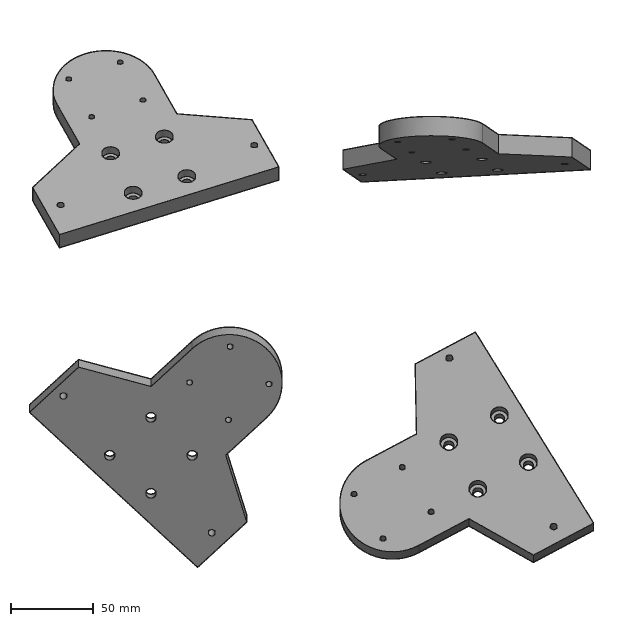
import cadquery as cq

length = 131.0
width = 144.0
thickness = 12.0

tongue_width = 64.0
tongue_radius = tongue_width / 2
base_depth = 64.1
end_depth = 42.0
junction_x = length - base_depth
end_x = length - end_depth

bolt_spacing = 35.3
bolt_diameter = 6.2
counterbore_diameter = 10.7
counterbore_depth = 6.0
bolt_center = (length - base_depth / 2, 0)

end_hole_diameter = 4.2
end_hole_x = 108.9
end_hole_ys = (65.1, -61.9)

tongue_hole_diameter = 3.5
tongue_hole_spacing = 34.0
tongue_hole_angle = 1.2
tongue_hole_center = (32.0, 0)


def make_plate():
    """Round-ended tongue running into a base that flares out to full width."""
    return (
        cq.Workplane("XY")
        .moveTo(tongue_radius, -tongue_width / 2)
        .lineTo(junction_x, -tongue_width / 2)
        .lineTo(end_x, -width / 2)
        .lineTo(length, -width / 2)
        .lineTo(length, width / 2)
        .lineTo(end_x, width / 2)
        .lineTo(junction_x, tongue_width / 2)
        .lineTo(tongue_radius, tongue_width / 2)
        .threePointArc((0, 0), (tongue_radius, -tongue_width / 2))
        .close()
        .extrude(thickness)
    )


def top_plane(center=(0, 0), angle=0):
    """Workplane on the top face, moved to a centre and turned about Z."""
    plane = cq.Workplane("XY", origin=(*center, thickness))
    return plane.transformed(rotate=(0, 0, angle))


def square_holes(center, spacing, diameter, depth, angle=0):
    """Four cylinders reaching down from the top face on a square pattern."""
    return (
        top_plane(center, angle)
        .rarray(spacing, spacing, 2, 2)
        .circle(diameter / 2)
        .extrude(-depth)
    )


end_holes = (
    top_plane()
    .pushPoints([(end_hole_x, y) for y in end_hole_ys])
    .circle(end_hole_diameter / 2)
    .extrude(-thickness)
)

result = (
    make_plate()
    .cut(square_holes(bolt_center, bolt_spacing, bolt_diameter, thickness))
    .cut(square_holes(bolt_center, bolt_spacing, counterbore_diameter, counterbore_depth))
    .cut(end_holes)
    .cut(
        square_holes(
            tongue_hole_center,
            tongue_hole_spacing,
            tongue_hole_diameter,
            thickness,
            tongue_hole_angle,
        )
    )
)